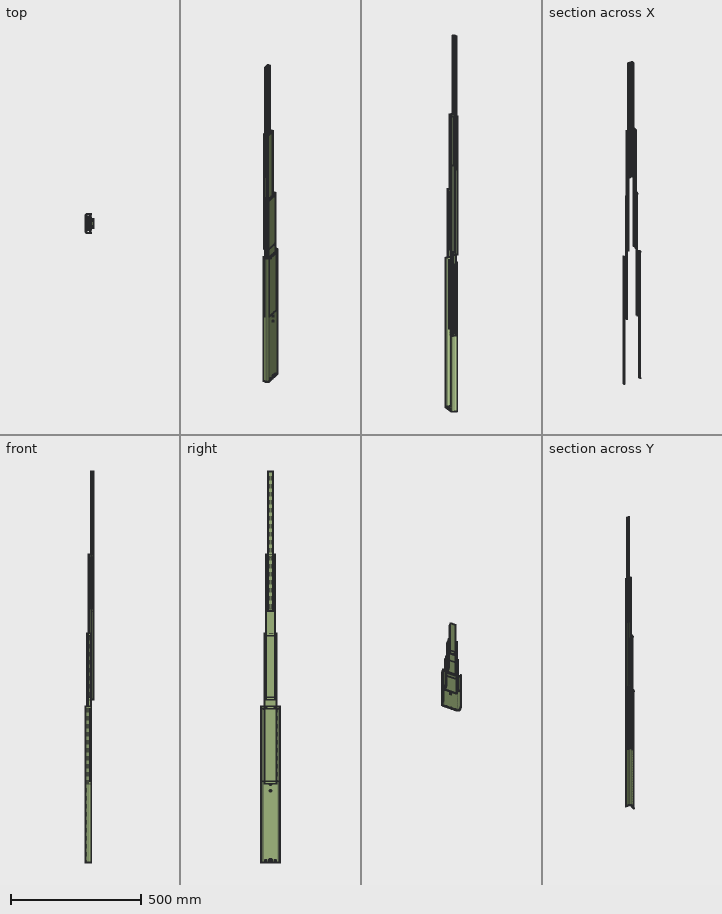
import cadquery as cq


OVERALL_WIDTH = 74.93
OVERALL_DEPTH = 32.0
OVERALL_LENGTH = 1500.0

HOUSING_LENGTH = 600.0
HOUSING_HALF_WIDTH = OVERALL_WIDTH / 2
HOUSING_FRONT = 23.5
HOUSING_WALL = 3.0
HOUSING_ROUNDING = 9.0
LIP_ROUNDING = 2.9

OUTER_BACK = 5.0
OUTER_FRONT = 23.0
OUTER_HALF_WIDTH = 24.5
OUTER_WALL = 1.8
OUTER_TRACK = (11.0, 20.0)
OUTER_TOP = 880.0

MIDDLE_BACK = 12.0
MIDDLE_HALF_WIDTH = 18.0
MIDDLE_WALL = 2.5
MIDDLE_TRACK = (18.0, 26.0)
MIDDLE_BOTTOM = 625.0
MIDDLE_TOP = 1182.0
MIDDLE_LENGTH = MIDDLE_TOP - MIDDLE_BOTTOM

INNER_BACK = 21.0
INNER_HALF_WIDTH = 10.5
INNER_TRACK = (24.0, 29.0)
INNER_GROOVE = (2.0, 7.0)
INNER_GROOVE_DEPTH = 1.0

TRACK_DEPTH = 1.0

LENGTH_STEP = (HOUSING_LENGTH - MIDDLE_LENGTH) / 2
OUTER_BOTTOM = OUTER_TOP - (HOUSING_LENGTH - LENGTH_STEP)
INNER_BOTTOM = OVERALL_LENGTH - (MIDDLE_LENGTH - LENGTH_STEP)

CAGE_END_GAP = 10.0
OUTER_CAGE_LEG = 1.0
OUTER_CAGE_PAD = (16.0, 20.0)
INNER_CAGE_WEB = 3.0

HOLE_DIAMETER = 6.0
CENTRE_HOLE_HEIGHTS = (275.0, 300.0)
CORNER_HOLE_OFFSET = 18.0
CORNER_HOLE_INSET = 7.0
COUNTERBORE_DIAMETER = 13.0
COUNTERBORE_DEPTH = HOUSING_WALL / 2
COUNTERBORE_HEIGHT = 8.0


def bar(x_range, y_range, heights):
    """Rectangular bar filling the given ranges."""
    size = [high - low for low, high in (x_range, y_range, heights)]
    corner = (x_range[0], y_range[0], heights[0])
    return cq.Workplane("XY").box(*size, centered=False).translate(corner)


def channel(x_range, half_width, web, side, heights):
    """U-shaped channel open toward +X."""
    back, front = x_range
    inner_half_width = half_width - side
    outside = bar(x_range, (-half_width, half_width), heights)
    return outside.cut(bar((back + web, front), (-inner_half_width, inner_half_width), heights))


def round_lips(body):
    """Round the outside front edge of both housing walls."""
    for y in (-HOUSING_HALF_WIDTH, HOUSING_HALF_WIDTH):
        lip = cq.NearestToPointSelector((HOUSING_FRONT, y, HOUSING_LENGTH / 2))
        body = body.edges(lip).fillet(LIP_ROUNDING)
    return body


def cut_on_both_sides(body, groove):
    """Cut a groove and its mirror image about Y = 0."""
    return body.cut(groove).cut(groove.mirror("XZ"))


def v_track(x_range, half_width, heights):
    """V-shaped track cutter for the +Y side of a rail."""
    back, front = x_range
    middle = (back + front) / 2
    return (
        cq.Workplane("XY", origin=(0, 0, heights[0]))
        .moveTo(back, half_width)
        .lineTo(middle, half_width - TRACK_DEPTH)
        .lineTo(front, half_width)
        .close()
        .extrude(heights[1] - heights[0])
    )


def back_hole(diameter, depth, y, z):
    """Round cutter going into the housing back."""
    return cq.Workplane("YZ", origin=(0, y, z)).circle(diameter / 2).extrude(depth)


def make_housing():
    heights = (0, HOUSING_LENGTH)
    body = bar((0, HOUSING_FRONT), (-HOUSING_HALF_WIDTH, HOUSING_HALF_WIDTH), heights)
    body = body.edges("|Z and <X").fillet(HOUSING_ROUNDING)
    inner_half_width = HOUSING_HALF_WIDTH - HOUSING_WALL
    inside = bar((HOUSING_WALL, HOUSING_FRONT), (-inner_half_width, inner_half_width), heights)
    body = body.cut(inside.edges("|Z and <X").fillet(HOUSING_ROUNDING - HOUSING_WALL))
    body = round_lips(body)
    hole_places = [(0, z) for z in (*CENTRE_HOLE_HEIGHTS, COUNTERBORE_HEIGHT)]
    for z in (CORNER_HOLE_INSET, HOUSING_LENGTH - CORNER_HOLE_INSET):
        hole_places += [(-CORNER_HOLE_OFFSET, z), (CORNER_HOLE_OFFSET, z)]
    for y, z in hole_places:
        body = body.cut(back_hole(HOLE_DIAMETER, HOUSING_WALL, y, z))
    return body.cut(back_hole(COUNTERBORE_DIAMETER, COUNTERBORE_DEPTH, 0, COUNTERBORE_HEIGHT))


def make_outer_stage():
    heights = (OUTER_BOTTOM, OUTER_TOP)
    body = channel((OUTER_BACK, OUTER_FRONT), OUTER_HALF_WIDTH, OUTER_WALL, OUTER_WALL, heights)
    track = bar(OUTER_TRACK, (OUTER_HALF_WIDTH - TRACK_DEPTH, OUTER_HALF_WIDTH), heights)
    return cut_on_both_sides(body, track)


def make_middle_stage():
    heights = (MIDDLE_BOTTOM, MIDDLE_TOP)
    body = channel((MIDDLE_BACK, OVERALL_DEPTH), MIDDLE_HALF_WIDTH, MIDDLE_WALL, MIDDLE_WALL, heights)
    return cut_on_both_sides(body, v_track(MIDDLE_TRACK, MIDDLE_HALF_WIDTH, heights))


def make_inner_stage():
    heights = (INNER_BOTTOM, OVERALL_LENGTH)
    body = bar((INNER_BACK, OVERALL_DEPTH), (-INNER_HALF_WIDTH, INNER_HALF_WIDTH), heights)
    body = cut_on_both_sides(body, v_track(INNER_TRACK, INNER_HALF_WIDTH, heights))
    groove = bar((INNER_BACK, INNER_BACK + INNER_GROOVE_DEPTH), INNER_GROOVE, heights)
    return cut_on_both_sides(body, groove)


def cage_heights(inner_rail_bottom, outer_rail_top):
    """Height range of a cage inside the overlap of its two rails."""
    return inner_rail_bottom + CAGE_END_GAP, outer_rail_top - CAGE_END_GAP


def make_outer_cage():
    """Thin cage around the outer stage, with a guide pad reaching each housing wall."""
    heights = cage_heights(OUTER_BOTTOM, HOUSING_LENGTH)
    half_width = OUTER_HALF_WIDTH + OUTER_CAGE_LEG
    web = OUTER_BACK - HOUSING_WALL
    body = channel((HOUSING_WALL, OUTER_CAGE_PAD[1]), half_width, web, OUTER_CAGE_LEG, heights)
    pad = bar(OUTER_CAGE_PAD, (half_width, HOUSING_HALF_WIDTH - HOUSING_WALL), heights)
    return body.union(pad).union(pad.mirror("XZ"))


def make_middle_cage():
    """Cage filling the space between the outer and middle stages."""
    back = OUTER_BACK + OUTER_WALL
    half_width = OUTER_HALF_WIDTH - OUTER_WALL
    heights = cage_heights(MIDDLE_BOTTOM, OUTER_TOP)
    leg = half_width - MIDDLE_HALF_WIDTH
    return channel((back, MIDDLE_TRACK[0]), half_width, MIDDLE_BACK - back, leg, heights)


def make_inner_cage():
    """Cage between the side walls of the middle stage and the inner stage."""
    half_width = MIDDLE_HALF_WIDTH - MIDDLE_WALL
    heights = cage_heights(INNER_BOTTOM, MIDDLE_TOP)
    leg = half_width - INNER_HALF_WIDTH
    return channel((INNER_BACK - INNER_CAGE_WEB, INNER_TRACK[1]), half_width, INNER_CAGE_WEB, leg, heights)


housing = make_housing()
outer_cage = make_outer_cage()
outer_stage = make_outer_stage()
middle_cage = make_middle_cage()
middle_stage = make_middle_stage()
inner_cage = make_inner_cage()
inner_stage = make_inner_stage()

result = cq.Compound.makeCompound(
    [
        housing.val(),
        outer_cage.val(),
        outer_stage.val(),
        middle_cage.val(),
        middle_stage.val(),
        inner_cage.val(),
        inner_stage.val(),
    ]
)